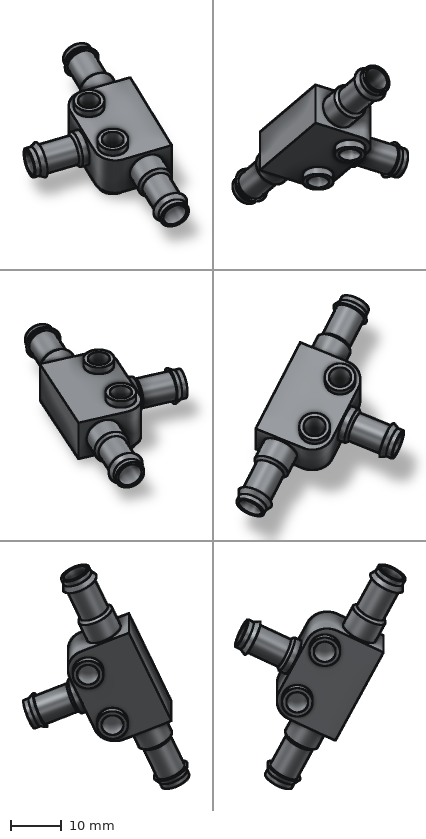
import cadquery as cq

total_length = 49.4
total_depth = 25.9
total_height = 12.0

body_length = 21.0
body_depth = 14.55
body_height = 8.8
corner_radius = 4.35
back_offset = 5.35

bore_diameter = 4.9
tube_diameter = 6.0
shoulder_diameter = 7.2
barb_diameter = 7.2
barb_lead = 1.15
barb_length = 1.2
shoulder_start = 9.3

boss_diameter = 6.05
boss_hole_diameter = 4.3
boss_spacing = 12.0
boss_back_offset = 10.65

arm_reach = total_length / 2
branch_reach = total_depth - back_offset
boss_y = back_offset - boss_back_offset
boss_centers = [(-boss_spacing / 2, boss_y), (boss_spacing / 2, boss_y)]


def connector(reach):
    """Barbed tube along +X from the origin, with a chamfered shoulder at its root."""
    tube_radius = tube_diameter / 2
    barb_radius = barb_diameter / 2
    shoulder_radius = shoulder_diameter / 2
    shoulder_chamfer = shoulder_radius - tube_radius
    barb_front = reach - barb_lead
    barb_back = barb_front - barb_length
    shoulder_end = reach - shoulder_start
    return (
        cq.Workplane("XY")
        .moveTo(0, 0)
        .lineTo(reach, 0)
        .lineTo(reach, tube_radius)
        .lineTo(barb_front, tube_radius)
        .lineTo(barb_back, barb_radius)
        .lineTo(barb_back, tube_radius)
        .lineTo(shoulder_end, tube_radius)
        .lineTo(shoulder_end - shoulder_chamfer, shoulder_radius)
        .lineTo(0, shoulder_radius)
        .close()
        .revolve(360, (0, 0, 0), (1, 0, 0))
    )


def bore(reach):
    """Bore cutter along +X from the origin."""
    return cq.Workplane("YZ").circle(bore_diameter / 2).extrude(reach)


def turned(shape, angle):
    """Shape turned about the vertical axis through the origin."""
    return shape.rotate((0, 0, 0), (0, 0, 1), angle)


def boss_columns(diameter):
    """Vertical cylinders over the full height at both boss centers."""
    return (
        cq.Workplane("XY", origin=(0, 0, -total_height / 2))
        .pushPoints(boss_centers)
        .circle(diameter / 2)
        .extrude(total_height)
    )


body = (
    cq.Workplane("XY")
    .box(body_length, body_depth, body_height)
    .edges("|Z and <Y")
    .fillet(corner_radius)
    .translate((0, back_offset - body_depth / 2, 0))
)

ports = [(0, arm_reach), (180, arm_reach), (-90, branch_reach)]

result = body.union(boss_columns(boss_diameter))
for angle, reach in ports:
    result = result.union(turned(connector(reach), angle))

for angle, reach in ports:
    result = result.cut(turned(bore(reach), angle))
result = result.cut(boss_columns(boss_hole_diameter))